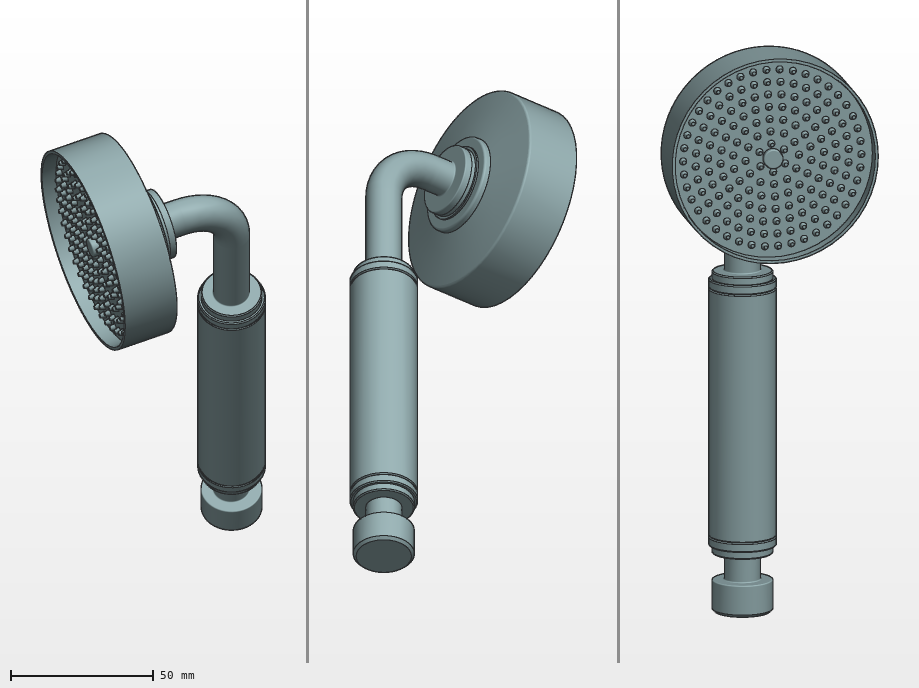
import cadquery as cq
import math


TOTAL_HEIGHT = 213.0
HEAD_DIAMETER = 74.0
HEAD_RADIUS = HEAD_DIAMETER / 2
HEAD_Z = TOTAL_HEIGHT - HEAD_RADIUS
HEAD_FRONT_Y = -56.9
EDGE_FILLET = 0.5

PIPE_RADIUS = 6.4
NUT_DIAMETER = 21.5
NUT_RADIUS = NUT_DIAMETER / 2
NUT_HEIGHT = 11.5
NUT_CHAMFER = 1.0

GRIP_RADIUS = 12.0
CAP_STEP_RADIUS = NUT_RADIUS
CAP_STEP_HEIGHT = 2.8
CAP_BAND_HEIGHT = 3.5
CAP_CHAMFER = 0.5
CAP_HEIGHT = CAP_STEP_HEIGHT + CAP_BAND_HEIGHT
BOTTOM_CAP_Z = 21.0
TOP_CAP_Z = 123.1
GRIP_LENGTH = TOP_CAP_Z - BOTTOM_CAP_Z - 2 * CAP_HEIGHT
SEAM_CHAMFER = 0.5

BEND_RADIUS = 20.0
FLANGE_DIAMETER = 25.3
FLANGE_RADIUS = FLANGE_DIAMETER / 2
FLANGE_BACK_Y = -26.5
FLANGE_FRONT_Y = -29.0

FOOT_RADIUS = 13.6
FOOT_BACK_Y = -30.5
COLLAR_RADIUS = 17.7
COLLAR_BACK_Y = -31.0
COLLAR_FRONT_Y = -33.5
COLLAR_FILLET = 0.9
SHELL_BACK_Y = -36.8
SHELL_FILLET = 0.9
RIM_WALL = 1.0
RECESS_RADIUS = HEAD_RADIUS - RIM_WALL

PLATE_THICKNESS = 2.1
PLATE_RECESS = 5.3
PLATE_FACE_Y = HEAD_FRONT_Y + PLATE_RECESS
PLATE_BACK_Y = PLATE_FACE_Y + PLATE_THICKNESS
SCREW_RADIUS = 3.5
SCREW_HEIGHT = 2.8
SCREW_FILLET = 0.5

RING_COUNT = 7
SECTOR_COUNT = 6
FIRST_RING_RADIUS = 5.1
RING_PITCH = 4.5
NOZZLE_START_ANGLE = 93.8
NOZZLE_RADIUS = 1.3
NOZZLE_TIP_RADIUS = 0.6
NOZZLE_HEIGHT = 2.0


def upright_cylinder(radius, bottom_z, top_z):
    """Cylinder on the grip axis."""
    return cq.Workplane("XY", origin=(0, 0, bottom_z)).circle(radius).extrude(top_z - bottom_z)


def head_cylinder(radius, back_y, front_y):
    """Cylinder on the head axis."""
    return cq.Workplane("XZ", origin=(0, back_y, HEAD_Z)).circle(radius).extrude(back_y - front_y)


def make_connector():
    """Hose nut with the short pipe stub that rises to the bottom cap."""
    nut = upright_cylinder(NUT_RADIUS, 0, NUT_HEIGHT).faces("<Z").chamfer(NUT_CHAMFER)
    stub = upright_cylinder(PIPE_RADIUS, NUT_HEIGHT, BOTTOM_CAP_Z)
    nut_top = cq.selectors.NearestToPointSelector((0, 0, NUT_HEIGHT))
    return nut.union(stub).faces(nut_top).edges().fillet(EDGE_FILLET)


def make_cap(end_z, direction):
    """Stepped solid cap whose outer end is at end_z; direction is +1 if the grip lies above it."""
    step_z = end_z + direction * CAP_STEP_HEIGHT
    seam_z = end_z + direction * CAP_HEIGHT
    outline = [
        (0, end_z),
        (CAP_STEP_RADIUS - CAP_CHAMFER, end_z),
        (CAP_STEP_RADIUS, end_z + direction * CAP_CHAMFER),
        (CAP_STEP_RADIUS, step_z),
        (GRIP_RADIUS - CAP_CHAMFER, step_z),
        (GRIP_RADIUS, step_z + direction * CAP_CHAMFER),
        (GRIP_RADIUS, seam_z - direction * SEAM_CHAMFER),
        (GRIP_RADIUS - SEAM_CHAMFER, seam_z),
        (0, seam_z),
    ]
    return cq.Workplane("XZ").polyline(outline).close().revolve(360, (0, 0, 0), (0, 1, 0))


def make_grip():
    bottom_z = BOTTOM_CAP_Z + CAP_HEIGHT
    grip = upright_cylinder(GRIP_RADIUS, bottom_z, bottom_z + GRIP_LENGTH)
    return grip.edges("%CIRCLE").chamfer(SEAM_CHAMFER)


def make_arm():
    """Bent pipe with the top cap at one end and the round flange at the other."""
    path = (
        cq.Workplane("YZ")
        .moveTo(0, TOP_CAP_Z)
        .lineTo(0, HEAD_Z - BEND_RADIUS)
        .radiusArc((-BEND_RADIUS, HEAD_Z), -BEND_RADIUS)
        .lineTo(FLANGE_BACK_Y, HEAD_Z)
    )
    pipe = cq.Workplane("XY", origin=(0, 0, TOP_CAP_Z)).circle(PIPE_RADIUS).sweep(path)
    flange = head_cylinder(FLANGE_RADIUS, FLANGE_BACK_Y, FLANGE_FRONT_Y)
    flange = flange.faces(">Y").edges().fillet(EDGE_FILLET)
    arm = pipe.union(flange).union(make_cap(TOP_CAP_Z, -1))
    smallest_circle = cq.selectors.RadiusNthSelector(0)
    for shoulder_centre in [(0, 0, TOP_CAP_Z), (0, FLANGE_BACK_Y, HEAD_Z)]:
        shoulder = cq.selectors.NearestToPointSelector(shoulder_centre)
        arm = arm.faces("%PLANE").faces(shoulder).edges(smallest_circle).fillet(EDGE_FILLET)
    return arm


def make_head_shell():
    """Turned shell with a flared back, a collar and a recessed front."""
    neck = head_cylinder(FLANGE_RADIUS, FLANGE_FRONT_Y, FOOT_BACK_Y)
    foot = head_cylinder(FOOT_RADIUS, FOOT_BACK_Y, COLLAR_BACK_Y)
    collar = head_cylinder(COLLAR_RADIUS, COLLAR_BACK_Y, COLLAR_FRONT_Y)
    collar = collar.faces(">Y").edges().fillet(COLLAR_FILLET)
    cup_outline = [
        (0, COLLAR_FRONT_Y),
        (COLLAR_RADIUS, COLLAR_FRONT_Y),
        (HEAD_RADIUS, SHELL_BACK_Y),
        (HEAD_RADIUS, HEAD_FRONT_Y),
        (RECESS_RADIUS, HEAD_FRONT_Y),
        (RECESS_RADIUS, PLATE_BACK_Y),
        (0, PLATE_BACK_Y),
    ]
    cup = (
        cq.Workplane("XY", origin=(0, 0, HEAD_Z))
        .polyline(cup_outline)
        .close()
        .revolve(360, (0, 0, 0), (0, 1, 0))
    )
    widest_circles = cq.selectors.RadiusNthSelector(-1)
    cup = cup.edges("%CIRCLE").edges(widest_circles).edges(">Y").fillet(SHELL_FILLET)
    return neck.union(foot).union(collar).union(cup)


def nozzle_centres():
    """(x, z) places of the nozzles, measured from the head axis."""
    centres = []
    for ring in range(RING_COUNT):
        radius = FIRST_RING_RADIUS + ring * RING_PITCH
        count = SECTOR_COUNT * (ring + 1)
        for index in range(count):
            angle = math.radians(NOZZLE_START_ANGLE + 360 * index / count)
            centres.append((radius * math.cos(angle), radius * math.sin(angle)))
    return centres


def make_spray_plate():
    """Round plate with tapered nozzles and a central screw head standing on its face."""
    plate = head_cylinder(RECESS_RADIUS, PLATE_BACK_Y, PLATE_FACE_Y)
    screw = head_cylinder(SCREW_RADIUS, PLATE_FACE_Y, PLATE_FACE_Y - SCREW_HEIGHT)
    screw = screw.faces("<Y").edges().fillet(SCREW_FILLET)
    forward = cq.Vector(0, -1, 0)
    nozzles = []
    for x, z in nozzle_centres():
        base = cq.Vector(x, PLATE_FACE_Y, HEAD_Z + z)
        nozzles.append(cq.Solid.makeCone(NOZZLE_RADIUS, NOZZLE_TIP_RADIUS, NOZZLE_HEIGHT, base, forward))
    return cq.Workplane(plate.val().fuse(screw.val(), *nozzles))


connector = make_connector()
bottom_cap = make_cap(BOTTOM_CAP_Z, 1)
grip = make_grip()
arm = make_arm()
head_shell = make_head_shell()
spray_plate = make_spray_plate()

bodies = [connector, bottom_cap, grip, arm, head_shell, spray_plate]
result = cq.Compound.makeCompound([body.solids().val() for body in bodies])